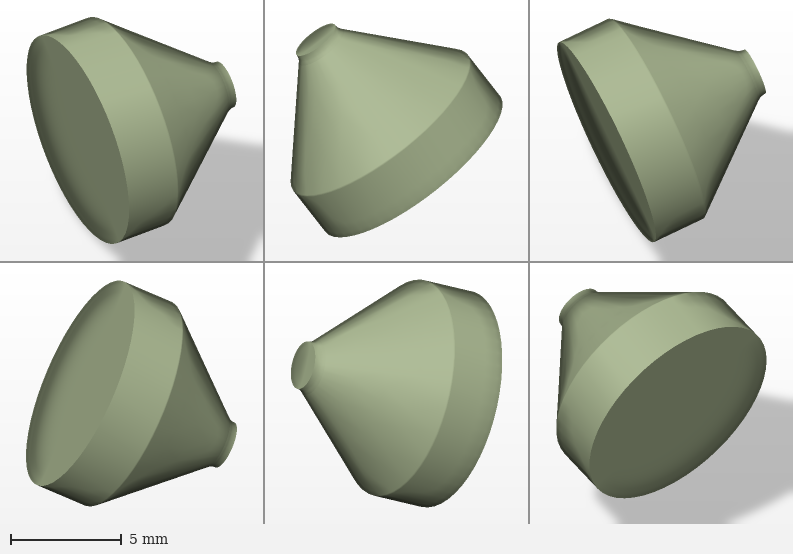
import cadquery as cq
import math

body_radius = 5.0
total_length = 7.5
disc_thickness = 2.5
neck_radius = 1.1
neck_length = 0.25
rim_blend_radius = 0.1

neck_corner_y = total_length - neck_length
cone_angle = math.atan2(body_radius - neck_radius, neck_corner_y - disc_thickness)

neck_blend_radius = neck_length / math.tan(cone_angle / 2)
rim_tangent_length = rim_blend_radius * math.tan(cone_angle / 2)


def blend_point(start_radius, start_y, arc_radius, turn, outward, along):
    """Point (radius, y) on an arc that leaves its start parallel to the axis."""
    return (
        start_radius + outward * arc_radius * (1 - math.cos(turn)),
        start_y + along * arc_radius * math.sin(turn),
    )


rim_start = (body_radius, disc_thickness - rim_tangent_length)
rim_middle = blend_point(*rim_start, rim_blend_radius, cone_angle / 2, -1, 1)
rim_end = blend_point(*rim_start, rim_blend_radius, cone_angle, -1, 1)

tip = (neck_radius, total_length)
neck_middle = blend_point(*tip, neck_blend_radius, cone_angle / 2, 1, -1)
neck_end = blend_point(*tip, neck_blend_radius, cone_angle, 1, -1)

profile = (
    cq.Workplane("XY")
    .moveTo(0, 0)
    .lineTo(body_radius, 0)
    .lineTo(*rim_start)
    .threePointArc(rim_middle, rim_end)
    .lineTo(*neck_end)
    .threePointArc(neck_middle, tip)
    .lineTo(0, total_length)
    .close()
)

result = profile.revolve(360, (0, 0, 0), (0, 1, 0))